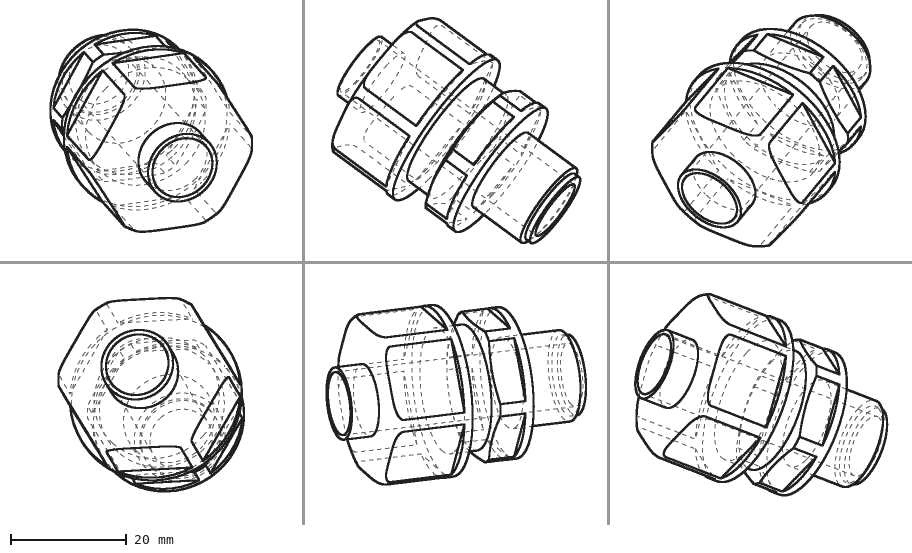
import cadquery as cq
import math

thread_relief_end = 1.05
thread_chamfer_end = 1.38
body_flange_start = 12.0
body_hex_start = 13.5
body_hex_chamfer_start = 18.15
body_hex_end = 18.95
nut_flange_start = 23.95
nut_hex_start = 25.45
nut_end = 38.0
total_length = 43.0

bore_diameter = 11.0
relief_diameter = 14.15
thread_diameter = 16.0
body_diameter = 26.5
neck_diameter = 22.0
nut_diameter = 30.0
tail_diameter = 12.65

body_across_flats = 24.0
nut_across_flats = 27.0
nut_edge_radius = 1.38


def cylinder(start, end, diameter):
    """Solid cylinder on the X axis between two X positions."""
    return cq.Workplane("YZ", origin=(start, 0, 0)).circle(diameter / 2).extrude(end - start)


def hex_prism(start, end, across_flats):
    """Hexagonal bar on the X axis with two flats facing +Z and -Z."""
    across_corners = across_flats / math.cos(math.pi / 6)
    return cq.Workplane("YZ", origin=(start, 0, 0)).polygon(6, across_corners).extrude(end - start)


def threaded_end():
    """Thread blank with a short relief and a conical lead-in."""
    relief = cylinder(0, body_flange_start, relief_diameter)
    chamfer = (thread_diameter - relief_diameter) / 2
    thread = cylinder(thread_relief_end, body_flange_start, thread_diameter)
    lead_in = thread_chamfer_end - thread_relief_end
    thread = thread.faces("<X").chamfer(lead_in, chamfer)
    return relief.union(thread)


def body():
    """Flanged hexagon with turned corners and a conical end, followed by the neck."""
    flange = cylinder(body_flange_start, body_hex_start, body_diameter)
    turned_envelope = (
        cylinder(body_hex_start, body_hex_end, body_diameter)
        .faces(">X")
        .chamfer(body_hex_end - body_hex_chamfer_start, (body_diameter - neck_diameter) / 2)
    )
    hexagon = hex_prism(body_hex_start, body_hex_end, body_across_flats).intersect(turned_envelope)
    neck = cylinder(body_hex_start, nut_hex_start, neck_diameter)
    return flange.union(hexagon).union(neck)


def nut():
    """Flanged hexagon nut with turned corners and a rounded outer end."""
    flange = cylinder(nut_flange_start, nut_hex_start, nut_diameter)
    turned_envelope = cylinder(nut_hex_start, nut_end, nut_diameter).faces(">X").edges().fillet(nut_edge_radius)
    hexagon = hex_prism(nut_hex_start, nut_end, nut_across_flats).intersect(turned_envelope)
    return flange.union(hexagon)


tail = cylinder(nut_hex_start, total_length, tail_diameter)
bore = cylinder(0, total_length, bore_diameter)

result = threaded_end().union(body()).union(nut()).union(tail).cut(bore)